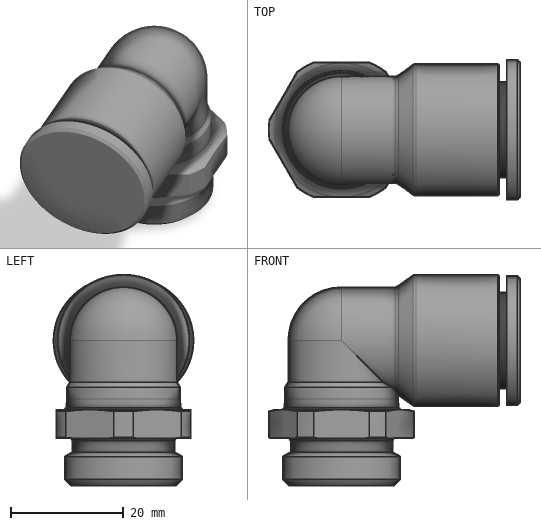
import cadquery as cq
import math

overall_length = 44.9

elbow_radius = 9.5
arm_height = 25.95

thread_radius = 10.5
thread_chamfer = 1.2
thread_top = 5.25
neck_radius = 9.1
neck_bottom = 6.0
neck_top = 8.1
neck_flare = 0.22

hex_bottom = 8.55
hex_top = 13.6
hex_flats = 24.0
hex_corner_radius = 26.0 / 2
top_chamfer_radius = 11.95
top_chamfer_height = 0.3
bottom_chamfer_radius = 12.75
bottom_chamfer_height = 0.15

shoulder_radius = 10.1
shoulder_bottom_radius = 10.25
shoulder_foot_radius = 10.55
foot_top = 13.95
taper_top = 15.55
shoulder_top = 17.6
shoulder_cone_top = 18.5

socket_radius = 11.75
socket_cone_start = 9.85
socket_cone_end = 12.98
socket_blend = 1.0
socket_end = 28.1
socket_chamfer = 0.25
stem_radius = 8.58

collar_start = 29.45
collar_end = overall_length - hex_corner_radius
collar_half_width = 25.0 / 2
collar_half_height = 11.55
collar_chamfer = 0.55


def turned(profile):
    """Solid turned about Z from (radius, height) points listed from bottom to top."""
    outline = [(0, profile[0][1])] + profile + [(0, profile[-1][1])]
    return cq.Workplane("XZ").polyline(outline).close().revolve(360, (0, 0, 0), (0, 1, 0))


def along_arm(x):
    """Plane across the arm at distance x, with its local axes along Y and Z."""
    return cq.Workplane("YZ", origin=(x, 0, arm_height))


def elbow():
    leg = cq.Workplane("XY", origin=(0, 0, hex_top)).circle(elbow_radius).extrude(arm_height - hex_top)
    arm = along_arm(0).circle(elbow_radius).extrude(socket_cone_start)
    ball = cq.Workplane("XY", origin=(0, 0, arm_height)).sphere(elbow_radius)
    return leg.union(arm).union(ball)


def threaded_end():
    return turned([
        (thread_radius - thread_chamfer, 0),
        (thread_radius, thread_chamfer),
        (thread_radius, thread_top),
        (neck_radius, neck_bottom),
        (neck_radius, neck_top),
        (neck_radius + neck_flare, hex_bottom),
    ])


def hex_nut():
    sharp_diameter = hex_flats / math.cos(math.pi / 6)
    prism = (
        cq.Workplane("XY", origin=(0, 0, hex_bottom))
        .polygon(6, sharp_diameter)
        .extrude(hex_top - hex_bottom)
    )
    envelope = turned([
        (bottom_chamfer_radius, hex_bottom),
        (hex_corner_radius, hex_bottom + bottom_chamfer_height),
        (hex_corner_radius, hex_top - top_chamfer_height),
        (top_chamfer_radius, hex_top),
    ])
    return prism.intersect(envelope)


def shoulder():
    return turned([
        (shoulder_foot_radius, hex_top),
        (shoulder_bottom_radius, foot_top),
        (shoulder_radius, taper_top),
        (shoulder_radius, shoulder_top),
        (elbow_radius, shoulder_cone_top),
    ])


def socket():
    """Socket turned about the arm axis, blended into and out of its cone by tangent arcs."""
    slope = math.atan2(socket_radius - elbow_radius, socket_cone_end - socket_cone_start)
    tangent = socket_blend * math.tan(slope / 2)
    sag = socket_blend * (1 - math.cos(slope / 2))
    half_run = socket_blend * math.sin(slope / 2)

    blend_in_start = socket_cone_start - tangent
    blend_in_end = (
        socket_cone_start + tangent * math.cos(slope),
        elbow_radius + tangent * math.sin(slope),
    )
    blend_out_start = (
        socket_cone_end - tangent * math.cos(slope),
        socket_radius - tangent * math.sin(slope),
    )
    blend_out_end = socket_cone_end + tangent
    blend_in_middle = (blend_in_start + half_run, elbow_radius + sag)
    blend_out_middle = (blend_out_end - half_run, socket_radius - sag)

    body = (
        cq.Workplane("XZ", origin=(0, 0, arm_height))
        .moveTo(blend_in_start, 0)
        .lineTo(blend_in_start, elbow_radius)
        .threePointArc(blend_in_middle, blend_in_end)
        .lineTo(*blend_out_start)
        .threePointArc(blend_out_middle, (blend_out_end, socket_radius))
        .lineTo(socket_end - socket_chamfer, socket_radius)
        .lineTo(socket_end, socket_radius - socket_chamfer)
        .lineTo(socket_end, 0)
        .close()
        .revolve(360, (0, 0, 0), (1, 0, 0))
    )
    stem = along_arm(socket_end).circle(stem_radius).extrude(collar_start - socket_end)
    return body.union(stem)


def release_collar():
    return (
        along_arm(collar_start)
        .ellipse(collar_half_width, collar_half_height)
        .extrude(collar_end - collar_start)
        .faces(">X")
        .chamfer(collar_chamfer)
    )


result = (
    elbow()
    .union(threaded_end())
    .union(hex_nut())
    .union(shoulder())
    .union(socket())
    .union(release_collar())
)